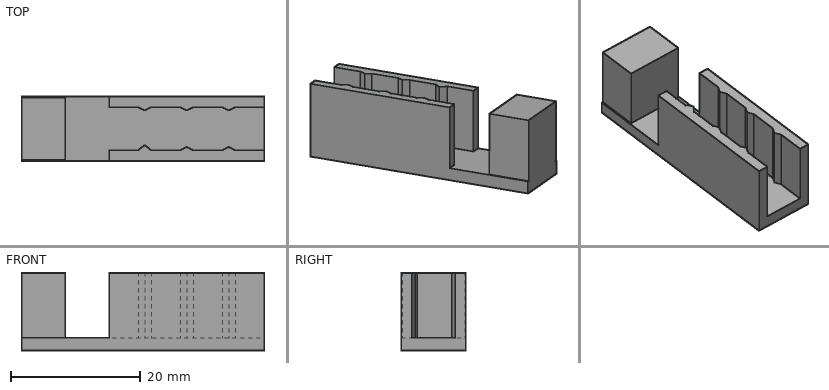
import cadquery as cq

length = 37.5
width = 10.0
base_height = 2.0
upper_height = 10.0

block_length = 6.75
block_width = 9.6

wall_start = 2 * block_length
channel_width = 6.65
wall_thickness = (width - channel_width) / 2

first_ridge = 19.0
ridge_pitch = 6.5
ridge_half_width = 1.0
ridge_height = 0.5
tall_ridge_height = 0.8

front_ridge_heights = [tall_ridge_height, ridge_height, ridge_height]
back_ridge_heights = [ridge_height, ridge_height, ridge_height]


def upright_box(start, size_x, y_center, size_y, bottom, height):
    """Box starting at X = start, centred on y_center and standing on Z = bottom."""
    box = cq.Workplane("XY").box(size_x, size_y, height, centered=(False, True, False))
    return box.translate((start, y_center, bottom))


def ridged_wall(side, ridge_heights):
    """Wall on the +Y (side = 1) or -Y (side = -1) edge, with ridges facing the channel."""
    outer_y = side * width / 2
    inner_y = side * (width / 2 - wall_thickness)
    outline = cq.Workplane("XY", origin=(0, 0, base_height))
    outline = outline.moveTo(wall_start, outer_y).lineTo(wall_start, inner_y)
    for index, height in enumerate(ridge_heights):
        ridge_x = first_ridge + index * ridge_pitch
        outline = outline.lineTo(ridge_x - ridge_half_width, inner_y)
        outline = outline.lineTo(ridge_x, inner_y - side * height)
        outline = outline.lineTo(ridge_x + ridge_half_width, inner_y)
    outline = outline.lineTo(length, inner_y).lineTo(length, outer_y).close()
    return outline.extrude(upper_height)


base = upright_box(0, length, 0, width, 0, base_height)
block = upright_box(0, block_length, 0, block_width, base_height, upper_height)
front_wall = ridged_wall(-1, front_ridge_heights)
back_wall = ridged_wall(1, back_ridge_heights)

result = base.union(block).union(front_wall).union(back_wall)